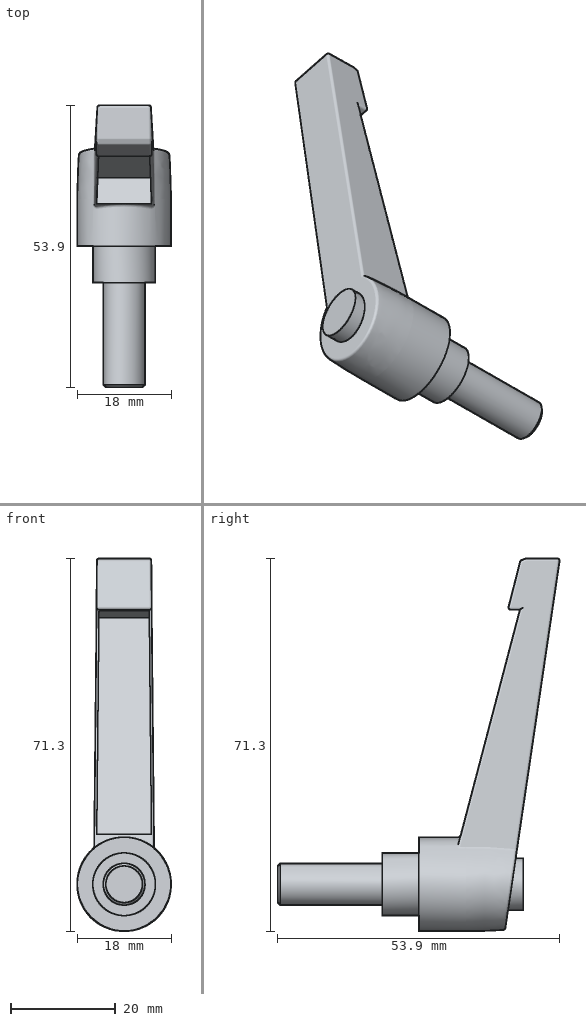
import cadquery as cq
import math


hub_radius = 9.0
hub_straight_length = 9.0
hub_barrel_length = 11.0
hub_barrel_end_radius = 8.45
collar_radius = 6.0
collar_length = 7.0
stud_radius = 4.0
stud_length = 20.0
stud_chamfer = 0.5
button_radius = 5.0
button_end_y = 20.0

handle_top_z = 62.32
handle_top_back_y = 27.01
back_angle = 8.4
front_angle = 14.7
back_lean = math.tan(math.radians(back_angle))
front_lean = math.tan(math.radians(front_angle))
rim_root_y = 7.35
rim_root_z = 6.9
grip_top_front_y = 20.5
grip_bevel_front_y = 19.4
grip_bevel_drop = 0.45
lip_z = 52.45
lip_front_y = 17.0
half_width_at_root = 5.76
half_width_at_top = 5.2
side_draft = 0.65
edge_radius = 0.5

pocket_depth = 5.15
pocket_bottom_z = 9.6
pocket_top_z = 52.25

buried_z = 0.0
clearance = 20.0


def back_y(z):
    """Y of the leaning back plane at height z."""
    return handle_top_back_y - (handle_top_z - z) * back_lean


def rim_y(z):
    """Y of the handle front below the grip at height z."""
    return rim_root_y + (z - rim_root_z) * front_lean


def rim_half_width(z):
    """Half of the handle width along X, measured at the handle front at height z."""
    slope = (half_width_at_root - half_width_at_top) / (handle_top_z - rim_root_z)
    return half_width_at_top + (handle_top_z - z) * slope


def trapezoid(half_width, start_y):
    """Outline in the plane Y = start_y that follows half_width(z) and overshoots the handle height."""
    low_z = -clearance
    high_z = handle_top_z + clearance
    low = half_width(low_z)
    high = half_width(high_z)
    corners = [(-low, low_z), (low, low_z), (high, high_z), (-high, high_z)]
    return cq.Workplane("XZ", origin=(0, start_y, 0)).polyline(corners).close()


def side_profile(points):
    """Prism along X with the given (y, z) outline."""
    return cq.Workplane("YZ").polyline(points).close().extrude(clearance, both=True)


def turned(profile):
    """Revolve a (y, radius) outline, which ends on the stud axis, about that axis."""
    return profile.close().revolve(360, (0, 0, 0), (1, 0, 0))


def make_hub():
    """Cylinder that curves in towards the back, cut off by the leaning back plane."""
    barrel_end_y = hub_straight_length + hub_barrel_length
    profile = (
        cq.Workplane("YZ")
        .lineTo(0, hub_radius)
        .lineTo(hub_straight_length, hub_radius)
        .tangentArcPoint((barrel_end_y, hub_barrel_end_radius), relative=False)
        .lineTo(barrel_end_y, 0)
    )
    behind = side_profile([
        (back_y(-clearance), -clearance),
        (back_y(clearance), clearance),
        (back_y(clearance) + clearance, clearance),
        (back_y(-clearance) + clearance, -clearance),
    ])
    return turned(profile).cut(behind)


def make_core():
    """Button, collar and stud as one stepped shaft through the hub."""
    collar_end_y = -collar_length
    stud_end_y = collar_end_y - stud_length
    outline = [
        (button_end_y, 0),
        (button_end_y, button_radius),
        (hub_straight_length, button_radius),
        (hub_straight_length, collar_radius),
        (collar_end_y, collar_radius),
        (collar_end_y, stud_radius),
        (stud_end_y + stud_chamfer, stud_radius),
        (stud_end_y, stud_radius - stud_chamfer),
        (stud_end_y, 0),
    ]
    return turned(cq.Workplane("YZ").polyline(outline))


def make_handle():
    """Leaning handle with a thicker grip at the top and drafted sides."""
    outline = [
        (back_y(buried_z), buried_z),
        (handle_top_back_y, handle_top_z),
        (grip_top_front_y, handle_top_z),
        (grip_bevel_front_y, handle_top_z - grip_bevel_drop),
        (lip_front_y, lip_z),
        (rim_y(lip_z), lip_z),
        (rim_y(rim_root_z), rim_root_z),
        (rim_y(buried_z), buried_z),
    ]

    def root_plane_half_width(z):
        return rim_half_width(z) + (rim_y(z) - rim_root_y) * math.tan(math.radians(side_draft))

    slab = trapezoid(root_plane_half_width, rim_root_y).extrude(-2 * clearance, taper=side_draft)
    return side_profile(outline).intersect(slab)


def make_pocket():
    """Hollow in the handle front between the hub and the grip."""
    inward_y = pocket_depth * math.cos(math.radians(front_angle))
    inward_z = -inward_y * front_lean
    bottom_front = (rim_y(pocket_bottom_z), pocket_bottom_z)
    top_front = (rim_y(pocket_top_z), pocket_top_z)
    outline = [
        (bottom_front[0] - inward_y, bottom_front[1] - inward_z),
        (bottom_front[0] + inward_y, bottom_front[1] + inward_z),
        (top_front[0] + inward_y, top_front[1] + inward_z),
        top_front,
    ]

    def pocket_half_width(z):
        return rim_half_width(z) - edge_radius

    slab = trapezoid(pocket_half_width, rim_y(buried_z)).extrude(-2 * clearance)
    return side_profile(outline).intersect(slab)


def round_edges(body):
    """Round the handle outline, its root and the back rim of the hub."""
    hub_seam = cq.selectors.NearestToPointSelector((0, rim_root_y / 2, hub_radius))
    lip_corner = cq.selectors.NearestToPointSelector((0, rim_y(lip_z), lip_z))
    hub_rings = cq.selectors.StringSyntaxSelector("%CIRCLE")
    sharp_edges = hub_rings + hub_seam + lip_corner
    return body.edges(cq.selectors.InverseSelector(sharp_edges)).fillet(edge_radius)


body = round_edges(make_hub().union(make_handle()))
result = body.cut(make_pocket()).union(make_core())